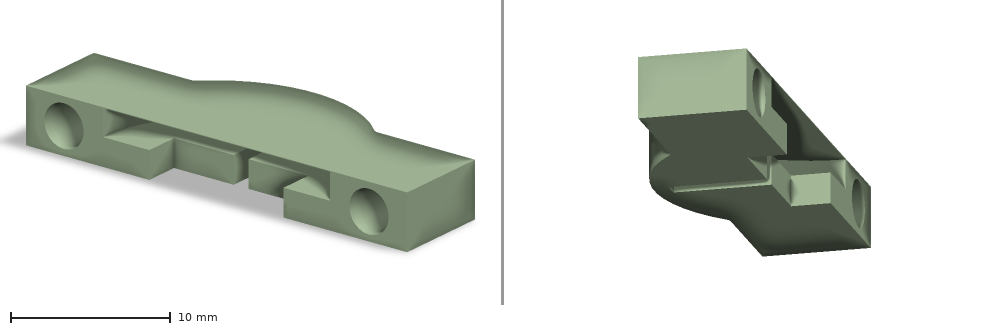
import cadquery as cq
import math

length = 30.0
bar_depth = 7.02
height = 4.02
dome_radius = 10.0
pocket_radius = 8.9
dome_root_radius = 0.6
roof_thickness = 0.05
floor_height = height / 2

hole_diameter = 3.1
hole_spacing = 24.0

notch_width = 10.55
notch_depth = 2.55
slit_width = 1.17


def half_disc(radius, thickness, base_z):
    """Half disc centred on the front face, bulging toward +Y."""
    return (
        cq.Workplane("XY", origin=(0, 0, base_z))
        .moveTo(-radius, 0)
        .threePointArc((0, radius), (radius, 0))
        .close()
        .extrude(thickness)
    )


def front_block(width, depth, block_height):
    """Block centred on x = 0, running back from the front face."""
    return cq.Workplane("XY").box(width, depth, block_height, centered=(True, False, False))


bar = front_block(length, bar_depth, height)
body = bar.union(half_disc(dome_radius, height, 0))

dome_root_x = math.sqrt(dome_radius**2 - bar_depth**2)
for side in (-1, 1):
    dome_root = cq.selectors.NearestToPointSelector((side * dome_root_x, bar_depth, height / 2))
    body = body.edges("|Z").edges(dome_root).fillet(dome_root_radius)

pocket_height = height - roof_thickness - floor_height
body = body.cut(half_disc(pocket_radius, pocket_height, floor_height))

body = body.cut(front_block(notch_width, notch_depth, floor_height))
slit = front_block(slit_width, dome_radius, floor_height)
body = body.cut(slit.intersect(half_disc(pocket_radius, floor_height, 0)))

holes = (
    cq.Workplane("XZ", origin=(0, 0, height / 2))
    .pushPoints([(-hole_spacing / 2, 0), (hole_spacing / 2, 0)])
    .circle(hole_diameter / 2)
    .extrude(-bar_depth)
)
result = body.cut(holes)